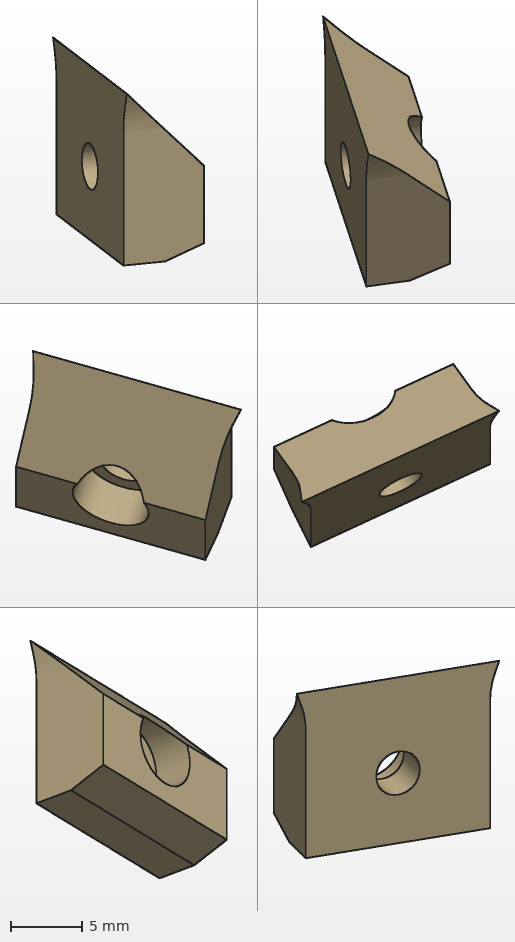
import cadquery as cq
import math

width = 15.36
depth = 6.0
height = 12.73

body_width = 13.98
flare_angle = math.radians(20)
flare_radius = 6.0

relief_depth = 2.9
relief_angle = math.radians(20)

hole_diameter = 3.3
counterbore_diameter = 5.6
counterbore_depth = 3.0
hole_height = 5.38

front_y = -depth / 2
back_y = depth / 2


def flared_block():
    """Front outline with flared upper corners, extruded through the depth."""
    half_body = body_width / 2
    half_width = width / 2
    arc_end_x = half_body + flare_radius * (1 - math.cos(flare_angle))
    arc_mid_x = half_body + flare_radius * (1 - math.cos(flare_angle / 2))
    arc_end_z = height - (half_width - arc_end_x) / math.tan(flare_angle)
    arc_start_z = arc_end_z - flare_radius * math.sin(flare_angle)
    arc_mid_z = arc_start_z + flare_radius * math.sin(flare_angle / 2)
    return (
        cq.Workplane("XZ", origin=(0, back_y, 0))
        .moveTo(-half_body, 0)
        .lineTo(half_body, 0)
        .lineTo(half_body, arc_start_z)
        .threePointArc((arc_mid_x, arc_mid_z), (arc_end_x, arc_end_z))
        .lineTo(half_width, height)
        .lineTo(-half_width, height)
        .lineTo(-arc_end_x, arc_end_z)
        .threePointArc((-arc_mid_x, arc_mid_z), (-half_body, arc_start_z))
        .close()
        .extrude(depth)
    )


def side_profile():
    """Side outline with the top bevel and bottom relief, spanning the full width."""
    bevel_z = height - depth
    relief_z = relief_depth * math.tan(relief_angle)
    return (
        cq.Workplane("YZ")
        .polyline([
            (front_y, 0),
            (back_y - relief_depth, 0),
            (back_y, relief_z),
            (back_y, bevel_z),
            (front_y, height),
        ])
        .close()
        .extrude(width / 2, both=True)
    )


def bore_from_back(diameter, bore_depth):
    """Cylinder entering the back face on the screw axis."""
    return (
        cq.Workplane("XZ", origin=(0, back_y, hole_height))
        .circle(diameter / 2)
        .extrude(bore_depth)
    )


result = (
    flared_block()
    .intersect(side_profile())
    .cut(bore_from_back(hole_diameter, depth))
    .cut(bore_from_back(counterbore_diameter, counterbore_depth))
)